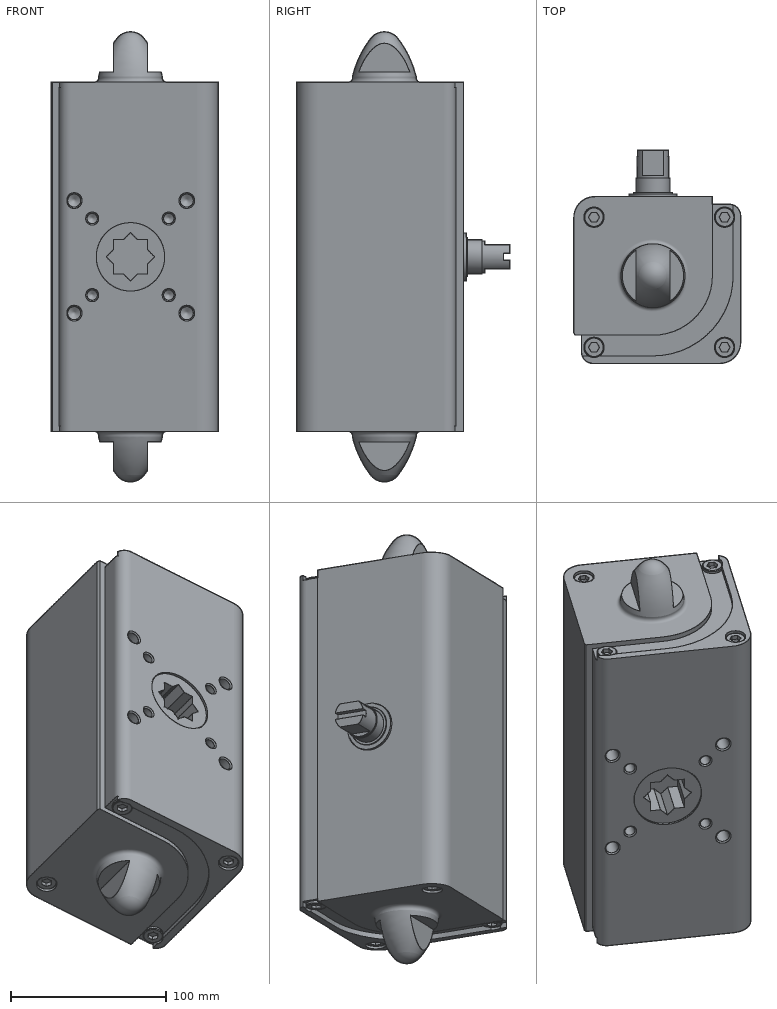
import cadquery as cq
import math


total_height = 290.0
dome_height = 32.5
end_z = total_height / 2 - dome_height
near_side = 51.0
far_side = 56.5
step_side = 46.0
step_reach = 38.3
large_corner = 13.5
small_corner = 7.5
step_chamfer_x = 1.0
step_chamfer_y = 1.7

groove_inner = step_reach
groove_outer = 51.5
groove_depth = 3.5

base_radius = 20.5
base_fillet = 2.5
base_band = 1.0
tip_sphere = 11.0
tip_radius = 8.7
flat_offset = 11.0
flat_shelf = 6.7

screw_diameter = 13.0
screw_sink = 1.5
screw_chamfer = 0.5
socket_across_flats = 6.0
socket_depth = 3.0
screw_x = (-38.0, 46.0)
screw_y = (37.7, -46.0)

outer_holes = (36.2, 8.5, 10.1, 14.5)
inner_holes = (24.5, 6.7, 8.5, 11.5)
drill_point_angle = 118.0

shaft_diameter = 44.0
shaft_recess = 1.5
shoulder_y = 42.3
neck_diameter = 31.0
neck_end = 52.8
collar_diameter = 25.2
collar_end = 53.5
journal_diameter = 22.0
journal_end = 63.0
tang_diameter = 20.5
tang_end = 81.0
tang_flat_start = 64.6
tang_thickness = 15.7
slot_width = 4.3
slot_depth = 4.0
star_square = 22.0
star_depth = 24.0


def cylinder_along_y(diameter, start, end):
    plane = cq.Workplane(cq.Plane((0, start, 0), (1, 0, 0), (0, 1, 0)))
    return plane.circle(diameter / 2).extrude(end - start)


def round_corner(block, x, y, radius):
    return block.edges(cq.selectors.NearestToPointSelector((x, y, 0))).fillet(radius)


def make_block():
    outline = [
        (-near_side, near_side),
        (step_reach, near_side),
        (step_reach, step_side),
        (far_side, step_side),
        (far_side, -far_side),
        (-step_side, -far_side),
        (-step_side, -step_reach),
        (-near_side + step_chamfer_x, -step_reach),
        (-near_side, -step_reach + step_chamfer_y),
    ]
    block = cq.Workplane("XY").polyline(outline).close().extrude(end_z, both=True)
    block = round_corner(block, -near_side, near_side, large_corner)
    block = round_corner(block, far_side, -far_side, large_corner)
    block = round_corner(block, far_side, step_side, small_corner)
    return round_corner(block, -step_side, -far_side, small_corner)


def rounded_quarter(wall):
    """Slab at the top end face, bounded at +X and -Y by walls joined by an arc about Z."""
    reach = 2 * far_side
    diagonal = wall * math.sqrt(0.5)
    return (
        cq.Workplane("XY", origin=(0, 0, end_z - groove_depth))
        .moveTo(-reach, reach)
        .lineTo(wall, reach)
        .lineTo(wall, 0)
        .threePointArc((diagonal, -diagonal), (0, -wall))
        .lineTo(-reach, -wall)
        .close()
        .extrude(groove_depth)
    )


def make_groove():
    return rounded_quarter(groove_outer).cut(rounded_quarter(groove_inner))


def make_stop():
    """Dome at the +Z end, turned about Z, with two flats."""
    top_z = total_height / 2
    foot_z = end_z + base_fillet
    sphere_z = top_z - tip_sphere
    tip_angle = math.asin(tip_radius / tip_sphere)
    half_angle = tip_angle / 2
    half_tip = (tip_sphere * math.sin(half_angle), sphere_z + tip_sphere * math.cos(half_angle))
    tip_end = (tip_radius, sphere_z + tip_sphere * math.cos(tip_angle))
    fillet_mid = base_fillet * (1 - math.sqrt(0.5))
    root_z = end_z - groove_depth
    stop = (
        cq.Workplane("XZ")
        .moveTo(0, top_z)
        .threePointArc(half_tip, tip_end)
        .tangentArcPoint((base_radius, foot_z + base_band), relative=False)
        .lineTo(base_radius, foot_z)
        .threePointArc(
            (base_radius + fillet_mid, end_z + fillet_mid),
            (base_radius + base_fillet, end_z),
        )
        .lineTo(base_radius + base_fillet, root_z)
        .lineTo(0, root_z)
        .close()
        .revolve(360, (0, 0, 0), (0, 1, 0))
    )
    for side in (-1, 1):
        waste = cq.Workplane("XY", origin=(0, 0, end_z + flat_shelf)).center(
            side * (flat_offset + base_radius), 0
        )
        stop = stop.cut(waste.rect(2 * base_radius, 4 * base_radius).extrude(dome_height))
    return stop


def screw_plane(z):
    points = [(x, y) for x in screw_x for y in screw_y]
    return cq.Workplane("XY", origin=(0, 0, z)).pushPoints(points)


def add_screws(body):
    """Sunk socket-head screws at the four corners of the +Z end."""
    floor_z = end_z - groove_depth
    head_z = end_z - screw_sink
    recesses = screw_plane(floor_z).circle(screw_diameter / 2).extrude(groove_depth)
    heads = screw_plane(floor_z).circle(screw_diameter / 2).extrude(head_z - floor_z)
    heads = heads.faces(">Z").chamfer(screw_chamfer)
    socket_corners = socket_across_flats / math.cos(math.radians(30))
    sockets = screw_plane(head_z - socket_depth).polygon(6, socket_corners).extrude(socket_depth)
    return body.cut(recesses).union(heads).cut(sockets)


def make_mounting_holes(offset, diameter, mouth, depth):
    """Four blind drilled holes with a chamfered mouth, bored from the -Y face."""
    radius = diameter / 2
    chamfer = (mouth - diameter) / 2
    point = radius / math.tan(math.radians(drill_point_angle / 2))
    drill = (
        cq.Workplane("XY")
        .polyline([
            (0, -far_side),
            (mouth / 2, -far_side),
            (radius, -far_side + chamfer),
            (radius, -far_side + depth),
            (0, -far_side + depth + point),
        ])
        .close()
        .revolve(360, (0, 0, 0), (0, 1, 0))
    )
    holes = cq.Workplane("XY")
    for x in (-offset, offset):
        for z in (-offset, offset):
            holes = holes.add(drill.translate((x, 0, z)))
    return holes.combine()


def make_housing():
    groove = make_groove()
    stop = make_stop()
    body = make_block()
    body = add_screws(body.cut(groove)).union(stop)
    upper = body.intersect(
        cq.Workplane("XY").rect(4 * far_side, 4 * far_side).extrude(total_height)
    )
    body = upper.union(upper.mirror("XY"))
    body = body.cut(cylinder_along_y(shaft_diameter, -far_side, shoulder_y))
    body = body.cut(cylinder_along_y(neck_diameter, shoulder_y, near_side))
    for hole_set in (outer_holes, inner_holes):
        body = body.cut(make_mounting_holes(*hole_set))
    return body


def make_shaft():
    front = -far_side + shaft_recess
    shaft = cylinder_along_y(shaft_diameter, front, shoulder_y)
    start = shoulder_y
    for diameter, end in (
        (neck_diameter, neck_end),
        (collar_diameter, collar_end),
        (journal_diameter, journal_end),
        (tang_diameter, tang_end),
    ):
        shaft = shaft.union(cylinder_along_y(diameter, start, end))
        start = end
    for side in (-1, 1):
        flat_waste = cq.Workplane("XY").box(
            2 * tang_diameter, tang_end - tang_flat_start, tang_diameter
        )
        flat_z = side * (tang_thickness + tang_diameter) / 2
        shaft = shaft.cut(flat_waste.translate((0, (tang_flat_start + tang_end) / 2, flat_z)))
    slot = cq.Workplane("XY").box(2 * tang_diameter, slot_depth, slot_width)
    shaft = shaft.cut(slot.translate((0, tang_end - slot_depth / 2, 0)))
    for angle in (0, 45):
        square = cq.Workplane("XY").box(star_square, star_depth, star_square)
        square = square.rotate((0, 0, 0), (0, 1, 0), angle)
        shaft = shaft.cut(square.translate((0, front + star_depth / 2, 0)))
    return shaft


housing = make_housing()
shaft = make_shaft()

result = cq.Compound.makeCompound([housing.solids().val(), shaft.solids().val()])